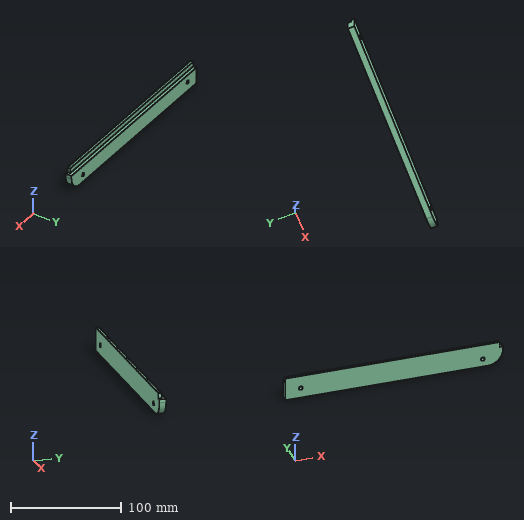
import cadquery as cq

length = 209.4
thickness = 6.5
height = 22.6

lip_height = 5.1
lip_thickness = 3.05
lip_end_setback = 3.2

corner_radius = 14.5

hole_diameter = 3.5
hole_centres = [(14.9, 10.0), (189.9, 7.9)]

body_height = height - lip_height


def make_body():
    """Full-thickness bar with its lower +X corner rounded."""
    body = cq.Workplane("XY").box(length, thickness, body_height, centered=False)
    return body.edges(">X and <Z").fillet(corner_radius)


def make_lip():
    """Thin lip on top of the bar."""
    lip_length = length - lip_end_setback
    lip = cq.Workplane("XY").box(lip_length, lip_thickness, lip_height, centered=False)
    return lip.translate((0, 0, body_height))


def make_holes():
    """Cylinders along Y that pass through the bar."""
    holes = cq.Workplane("XZ").pushPoints(hole_centres).circle(hole_diameter / 2)
    return holes.extrude(-thickness)


result = make_body().union(make_lip()).cut(make_holes())